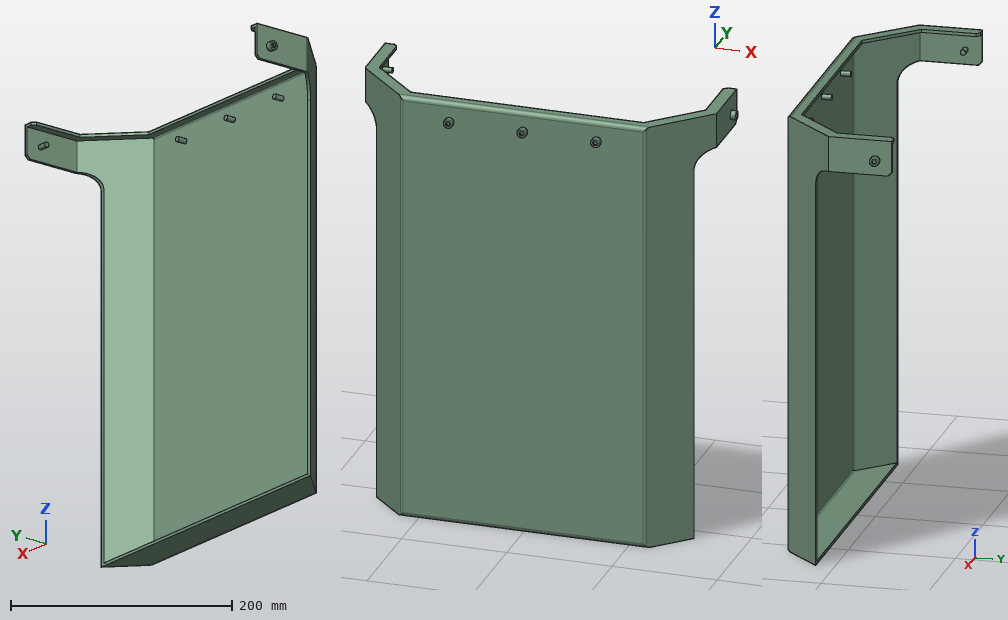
import cadquery as cq
import math

height = 414.0
width_over_screws = 344.0
depth_over_screws = 115.0

head_diameter = 8.5
head_height = 5.0
head_rounding = 0.5
socket_width = 4.0
socket_depth = 2.5
socket_sides = 6
shank_diameter = 5.0
shank_length = 12.0
screw_drop = 19.0
front_screw_pitch = 70.0
side_screw_setback = 15.5

sheet = 3.0
flange_width = 12.0
bend_rise = 51.5
bend_radius = 4.0
bend_angle = math.radians(45)
half_width = width_over_screws / 2 - head_height
depth = depth_over_screws - head_height
front_half_width = half_width - bend_rise

arm_height = 33.0
arm_chamfer = 3.5
arm_root_radius = 18.2
body_depth = 35.0

screw_z = height - screw_drop
arm_bottom = height - arm_height


def fold_prism(inset, bottom, top):
    """Solid inside the fold moved inward by inset, from bottom to top, with sharp bends."""
    shift = inset * math.tan(bend_angle / 2)
    side_x = half_width - inset
    front_x = front_half_width - shift
    bend_y = bend_rise + shift
    outline = [
        (-side_x, depth), (-side_x, bend_y), (-front_x, inset),
        (front_x, inset), (side_x, bend_y), (side_x, depth),
    ]
    plane = cq.Workplane("XY").workplane(offset=bottom)
    return plane.polyline(outline).close().extrude(top - bottom)


def round_bends(prism, radius):
    """Round the upright bends beside the arms and the whole rim of the front face."""
    near_arm_bends = cq.selectors.BoxSelector(
        (-half_width, bend_rise - sheet, 0), (half_width, bend_rise + sheet, height)
    )
    prism = prism.edges("|Z").edges(near_arm_bends).fillet(radius)
    return prism.faces("<Y").edges().fillet(radius)


def folded_sheet():
    """Sheet of even thickness with a floor and an inward flange along the top."""
    outside = round_bends(fold_prism(0, 0, height), bend_radius)
    inside = round_bends(fold_prism(sheet, sheet, height - sheet), bend_radius - sheet)
    flange_opening = fold_prism(flange_width, height - sheet, height)
    return outside.cut(inside).cut(flange_opening)


def lower_trim():
    """Space behind the lower body, cut flat across and rounded under the arm roots."""
    return (
        cq.Workplane("YZ")
        .moveTo(body_depth, 0)
        .lineTo(body_depth, arm_bottom - arm_root_radius)
        .radiusArc((body_depth + arm_root_radius, arm_bottom), arm_root_radius)
        .lineTo(depth, arm_bottom)
        .lineTo(depth, 0)
        .close()
        .extrude(half_width, both=True)
    )


def bevel_arm_ends(body):
    """Bevel the flange corner and the lower corner at the free end of each arm."""
    for side in (-1, 1):
        flange_corner = (side * (half_width - flange_width), depth, height - sheet / 2)
        nearest = cq.selectors.NearestToPointSelector(flange_corner)
        body = body.edges("|Z").edges(nearest).chamfer(arm_chamfer)
    return body.faces(">Y").edges("<Z").chamfer(arm_chamfer)


def cap_screw(base, direction):
    """Socket head screw seated at base, its head pointing along direction."""
    seat = cq.Plane(origin=base, xDir=(0, 0, 1), normal=direction)
    head = cq.Workplane(seat).circle(head_diameter / 2).extrude(head_height)
    head = head.faces(cq.selectors.DirectionMinMaxSelector(cq.Vector(*direction))).edges()
    head = head.fillet(head_rounding)
    socket = (
        cq.Workplane(seat)
        .workplane(offset=head_height - socket_depth)
        .polygon(socket_sides, socket_width, circumscribed=True)
        .extrude(socket_depth)
    )
    shank = cq.Workplane(seat).circle(shank_diameter / 2).extrude(-shank_length)
    return head.cut(socket).union(shank)


result = folded_sheet().cut(lower_trim())
result = bevel_arm_ends(result)

for x in (-front_screw_pitch, 0, front_screw_pitch):
    result = result.union(cap_screw((x, 0, screw_z), (0, -1, 0)))

for side in (-1, 1):
    arm_seat = (side * half_width, depth - side_screw_setback, screw_z)
    result = result.union(cap_screw(arm_seat, (side, 0, 0)))